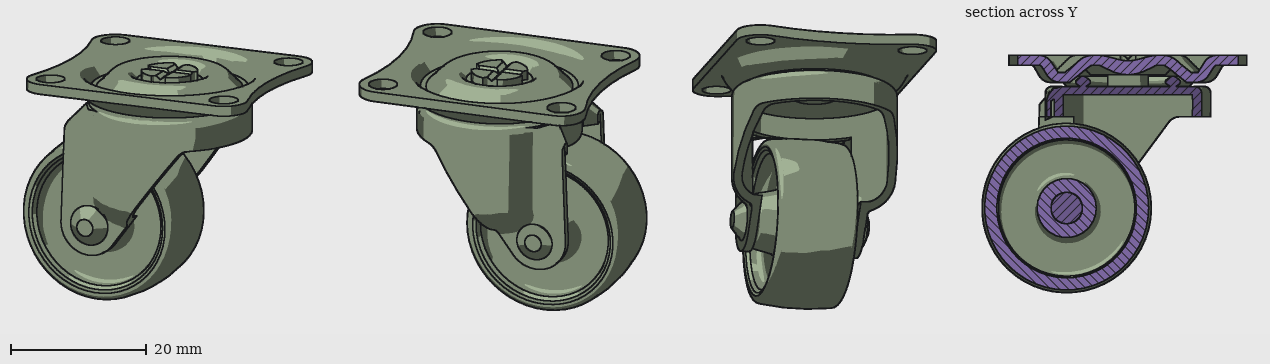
import cadquery as cq
import math


PLATE_LENGTH = 35.0
PLATE_WIDTH = 30.0
SHEET = 1.5
CORNER_RADIUS = 3.5
BOLT_HOLE_DIAMETER = 4.2
SIDE_WAIST = 15.75

DISH_RADIUS = 13.1
DISH_WALL_ANGLE = 60.0
DISH_DEPTH = 2.55
DISH_FLOOR_INNER_RADIUS = 10.8
CREST_SLOPE = 45.0
SEAT_RADIUS = 4.88
SEAT_DEPTH = 1.4
LARGE_BEND = 2.0
SMALL_BEND = LARGE_BEND - SHEET
BRIM_RADIUS = 14.62

KINGPIN_HEAD_RADIUS = 4.15
KINGPIN_SHANK_RADIUS = 3.0
CROSS_GROOVE_WIDTH = 1.35
CROSS_GROOVE_DEPTH = 0.6
HEAD_NOTCH_RADIUS = 1.3
HEAD_NOTCH_OFFSET = 4.55

WHEEL_RADIUS = 12.5
AXLE_OFFSET = 9.0
AXLE_DROP = 22.485
TREAD_EDGE_RADIUS = 12.13
WHEEL_WIDTH = 11.97
TREAD_EDGE_ROUND = 0.78
RIM_INNER_RADIUS = 11.0
RIM_STEP_RADIUS = 10.53
RIM_LIP_RADIUS = 10.02
RECESS_RADIUS = 9.9
RECESS_ROUND = 0.9
RIM_STEP_DEPTH = 0.2
RIM_LIP_DEPTH = 0.7
WEB_THICKNESS = 7.02
HUB_RADIUS = 4.05
HUB_ROOT_RADIUS = 4.85
HUB_LENGTH = 13.95
HUB_ROUND = 0.3
HUB_ROOT_ROUND = 0.85

AXLE_RADIUS = 2.25
AXLE_HEAD_RADIUS = 3.0
AXLE_HEAD_TIP_RADIUS = 1.3
AXLE_HEAD_HEIGHT = 1.55
RIVET_FLANGE_RADIUS = 2.75
RIVET_FLANGE_START = 0.5
RIVET_FLANGE_EDGE = 0.78
RIVET_TIP_HEIGHT = 1.4

FORK_RADIUS = 12.188
FORK_SHEET = 1.25
FORK_TOP = 4.6
FORK_TOP_ROUND = 1.0
RIM_BOTTOM_DROP = 9.1
RIM_CUTBACK_X = 6.6
RIM_CUTBACK_ROUND = 2.0
APRON_X = -11.1
APRON_SLOPE = 24.0

LEG_OUTER_Y = 8.715
LEG_END_RADIUS = 4.55
LEG_FRONT_X = -13.03
LEG_SHOULDER_DROP = 7.88
BULGE_FRONT_X = -8.95
BULGE_BOTTOM_DROP = 21.75
BULGE_EDGE_ROUND = 3.9

BULGE_ROOT_ROUND = 0.85
GUSSET_BEND = 0.62
PICK_MARGIN = 0.05

GUSSET_TOP_DROP = 4.88
GUSSET_REAR_X = -9.13
GUSSET_RIDGE_X = -11.3
GUSSET_RIDGE_Y = 4.88
GUSSET_TIP_Y = 6.45
RIDGE_ROUND = 1.0

RACE_RADIUS = 8.6
RACE_FOOT_WIDTH = 0.78
RACE_WIDTH = 2.2
RACE_MIDDLE_DROP = 3.95
RACE_TOP_DROP = 2.9
RACE_ROUND = 0.5

LEG_INNER_Y = LEG_OUTER_Y - FORK_SHEET
LEG_REAR_X = BULGE_FRONT_X + FORK_SHEET
OVERSIZE = 39.0


def rounded_outline(corners, plane="XZ"):
    """Closed outline through (u, v, radius) corners, each rounded by its radius (0 keeps it sharp)."""
    outline = None
    for index, (u, v, radius) in enumerate(corners):
        corner = cq.Vector(u, v)
        before = cq.Vector(*corners[index - 1][:2]) - corner
        after = cq.Vector(*corners[(index + 1) % len(corners)][:2]) - corner
        before = before.normalized()
        after = after.normalized()
        half_angle = before.getAngle(after) / 2
        reach = radius / math.tan(half_angle)
        start = corner + before * reach
        end = corner + after * reach
        bisector = (before + after).normalized()
        middle = corner + bisector * (radius / math.sin(half_angle) - radius)
        if outline is None:
            outline = cq.Workplane(plane).moveTo(start.x, start.y)
        else:
            outline = outline.lineTo(start.x, start.y)
        if radius > 0:
            outline = outline.threePointArc((middle.x, middle.y), (end.x, end.y))
    return outline.close()


def turned_about_z(corners):
    return rounded_outline(corners).revolve(360, (0, 0), (0, 1))


def turned_about_axle(corners):
    """Revolve (radius, distance along the axle) corners about the wheel axis, which runs along Y."""
    body = rounded_outline(corners, "XY").revolve(360, (0, 0), (0, 1))
    return body.translate((-AXLE_OFFSET, 0, -AXLE_DROP))


def make_plate_blank():
    half_length = PLATE_LENGTH / 2
    half_width = PLATE_WIDTH / 2
    corner_x = half_length - CORNER_RADIUS
    corner_y = half_width - CORNER_RADIUS
    inset = SIDE_WAIST - corner_x
    side_radius = (corner_y**2 + inset**2 - CORNER_RADIUS**2) / (2 * (CORNER_RADIUS - inset))
    tangency = CORNER_RADIUS / (side_radius + CORNER_RADIUS)
    tangent_x = corner_x + (SIDE_WAIST + side_radius - corner_x) * tangency
    tangent_y = corner_y * (1 - tangency)
    diagonal = CORNER_RADIUS * math.sqrt(0.5)
    blank = (
        cq.Workplane("XY")
        .moveTo(-corner_x, half_width)
        .lineTo(corner_x, half_width)
        .threePointArc((corner_x + diagonal, corner_y + diagonal), (tangent_x, tangent_y))
        .threePointArc((SIDE_WAIST, 0), (tangent_x, -tangent_y))
        .threePointArc((corner_x + diagonal, -corner_y - diagonal), (corner_x, -half_width))
        .lineTo(-corner_x, -half_width)
        .threePointArc((-corner_x - diagonal, -corner_y - diagonal), (-tangent_x, -tangent_y))
        .threePointArc((-SIDE_WAIST, 0), (-tangent_x, tangent_y))
        .threePointArc((-corner_x - diagonal, corner_y + diagonal), (-corner_x, half_width))
        .close()
        .extrude(-SHEET)
    )
    bolt_holes = (
        cq.Workplane("XY")
        .rect(2 * corner_x, 2 * corner_y, forConstruction=True)
        .vertices()
        .circle(BOLT_HOLE_DIAMETER / 2)
        .extrude(-SHEET)
    )
    return blank.cut(bolt_holes)


def make_dish():
    """Pressed sheet: a dish whose middle rises to a crest and falls again to the kingpin seat."""
    wall = math.radians(DISH_WALL_ANGLE)
    slope = math.radians(CREST_SLOPE)
    wall_shift = SHEET * math.tan(wall / 2)
    slope_shift = SHEET * math.tan(slope / 2)
    floor_outer = DISH_RADIUS - DISH_DEPTH / math.tan(wall)
    crest_outer = DISH_FLOOR_INNER_RADIUS - DISH_DEPTH / math.tan(slope)
    crest_inner = SEAT_RADIUS + SEAT_DEPTH / math.tan(slope)
    corners = [
        (BRIM_RADIUS, 0, 0),
        (DISH_RADIUS, 0, LARGE_BEND),
        (floor_outer, -DISH_DEPTH, 0),
        (DISH_FLOOR_INNER_RADIUS, -DISH_DEPTH, 0),
        (crest_outer, 0, LARGE_BEND),
        (crest_inner, 0, LARGE_BEND),
        (SEAT_RADIUS, -SEAT_DEPTH, 0),
        (KINGPIN_SHANK_RADIUS, -SEAT_DEPTH, 0),
        (KINGPIN_SHANK_RADIUS, -SEAT_DEPTH - SHEET, 0),
        (SEAT_RADIUS + slope_shift, -SEAT_DEPTH - SHEET, 0),
        (crest_inner + slope_shift, -SHEET, SMALL_BEND),
        (crest_outer - slope_shift, -SHEET, SMALL_BEND),
        (DISH_FLOOR_INNER_RADIUS - slope_shift, -DISH_DEPTH - SHEET, 0),
        (floor_outer + wall_shift, -DISH_DEPTH - SHEET, LARGE_BEND),
        (DISH_RADIUS + wall_shift, -SHEET, SMALL_BEND),
        (BRIM_RADIUS, -SHEET, 0),
    ]
    return turned_about_z(corners)


def make_plate():
    opening = cq.Workplane("XY").circle(BRIM_RADIUS).extrude(-SHEET)
    return make_plate_blank().cut(opening).union(make_dish())


def make_kingpin():
    head = cq.Workplane("XY").circle(KINGPIN_HEAD_RADIUS).extrude(-SEAT_DEPTH)
    groove = (
        cq.Workplane("XZ")
        .moveTo(-CROSS_GROOVE_WIDTH / 2, 0)
        .lineTo(CROSS_GROOVE_WIDTH / 2, 0)
        .lineTo(0, -CROSS_GROOVE_DEPTH)
        .close()
        .extrude(KINGPIN_HEAD_RADIUS, both=True)
    )
    for angle in (0, 90):
        head = head.cut(groove.rotate((0, 0, 0), (0, 0, 1), angle))
    notches = (
        cq.Workplane("XY")
        .polarArray(HEAD_NOTCH_OFFSET, 0, 360, 4)
        .circle(HEAD_NOTCH_RADIUS)
        .extrude(-SEAT_DEPTH)
    )
    shank = (
        cq.Workplane("XY")
        .workplane(offset=-SEAT_DEPTH)
        .circle(KINGPIN_SHANK_RADIUS)
        .extrude(SEAT_DEPTH - FORK_TOP - FORK_SHEET)
    )
    return head.cut(notches).union(shank)


def make_wheel():
    face = WHEEL_WIDTH / 2
    web = WEB_THICKNESS / 2
    hub = HUB_LENGTH / 2
    half = [
        (RIM_INNER_RADIUS, face, 0),
        (RIM_STEP_RADIUS, face - RIM_STEP_DEPTH, 0),
        (RIM_LIP_RADIUS, face - RIM_LIP_DEPTH, 0),
        (RECESS_RADIUS, web, RECESS_ROUND),
        (HUB_ROOT_RADIUS, web, HUB_ROOT_ROUND),
        (HUB_RADIUS, hub, HUB_ROUND),
        (AXLE_RADIUS, hub, 0),
    ]
    mirrored = [(radius, -y, rounding) for radius, y, rounding in reversed(half)]
    shoulders = [(TREAD_EDGE_RADIUS, -face, TREAD_EDGE_ROUND), (TREAD_EDGE_RADIUS, face, TREAD_EDGE_ROUND)]
    body = turned_about_axle(half + mirrored + shoulders)
    tread_edge = face - TREAD_EDGE_ROUND
    crown = (
        cq.Workplane("XY")
        .moveTo(RIM_INNER_RADIUS, -tread_edge)
        .lineTo(TREAD_EDGE_RADIUS, -tread_edge)
        .threePointArc((WHEEL_RADIUS, 0), (TREAD_EDGE_RADIUS, tread_edge))
        .lineTo(RIM_INNER_RADIUS, tread_edge)
        .close()
        .revolve(360, (0, 0), (0, 1))
        .translate((-AXLE_OFFSET, 0, -AXLE_DROP))
    )
    return body.union(crown)


def make_axle():
    corners = [
        (0, -LEG_OUTER_Y - AXLE_HEAD_HEIGHT, 0),
        (AXLE_HEAD_TIP_RADIUS, -LEG_OUTER_Y - AXLE_HEAD_HEIGHT, 0),
        (AXLE_HEAD_RADIUS, -LEG_OUTER_Y, 0),
        (AXLE_RADIUS, -LEG_OUTER_Y, 0),
        (AXLE_RADIUS, LEG_OUTER_Y + RIVET_FLANGE_START, 0),
        (RIVET_FLANGE_RADIUS, LEG_OUTER_Y + RIVET_FLANGE_EDGE, 0),
        (AXLE_HEAD_TIP_RADIUS, LEG_OUTER_Y + RIVET_TIP_HEIGHT, 0),
        (0, LEG_OUTER_Y + RIVET_TIP_HEIGHT, 0),
    ]
    return turned_about_axle(corners)


def slanted_edge_end():
    """Point where the slanted rear edge of the leg runs tangent into the round leg end."""
    run = -AXLE_OFFSET - RIM_CUTBACK_X
    rise = RIM_BOTTOM_DROP - AXLE_DROP
    swing = math.asin(LEG_END_RADIUS / math.hypot(run, rise))
    direction = math.atan2(rise, run) + swing + math.pi / 2
    x = -AXLE_OFFSET + LEG_END_RADIUS * math.cos(direction)
    z = -AXLE_DROP + LEG_END_RADIUS * math.sin(direction)
    return x, z


def make_drum(inset):
    """Solid drum inside the outer skin of the fork, with that skin moved inward by inset."""
    radius = FORK_RADIUS - inset
    top = -FORK_TOP - inset
    bottom = -BULGE_BOTTOM_DROP + inset
    corners = [
        (0, top, 0),
        (radius, top, max(FORK_TOP_ROUND - inset, 0)),
        (radius, bottom, BULGE_EDGE_ROUND - inset),
        (0, bottom, 0),
    ]
    return turned_about_z(corners)


def make_rear_cutback():
    """Everything below the rim and behind the slanted rear edge of the legs."""
    edge_x, edge_z = slanted_edge_end()
    outline = [
        (OVERSIZE, -RIM_BOTTOM_DROP, 0),
        (RIM_CUTBACK_X, -RIM_BOTTOM_DROP, RIM_CUTBACK_ROUND),
        (edge_x, edge_z, 0),
        (OVERSIZE, edge_z, 0),
    ]
    return rounded_outline(outline).extrude(OVERSIZE, both=True)


def make_wheel_window():
    """Room for the wheel between the legs, leaving an apron in front that hangs slightly lower."""
    apron_drop = RIM_BOTTOM_DROP + OVERSIZE * math.tan(math.radians(APRON_SLOPE))
    outline = [
        (OVERSIZE, -RIM_BOTTOM_DROP, 0),
        (APRON_X, -RIM_BOTTOM_DROP, 0),
        (APRON_X - OVERSIZE, -apron_drop, 0),
        (APRON_X - OVERSIZE, -2 * OVERSIZE, 0),
        (OVERSIZE, -2 * OVERSIZE, 0),
    ]
    return rounded_outline(outline).extrude(LEG_INNER_Y, both=True)


def make_leg(side):
    outline = (
        cq.Workplane("XZ", origin=(0, side * LEG_OUTER_Y, 0))
        .moveTo(*slanted_edge_end())
        .threePointArc(
            (-AXLE_OFFSET, -AXLE_DROP - LEG_END_RADIUS), (-AXLE_OFFSET - LEG_END_RADIUS, -AXLE_DROP)
        )
        .lineTo(LEG_FRONT_X, -LEG_SHOULDER_DROP)
        .lineTo(GUSSET_REAR_X, -GUSSET_TOP_DROP)
        .lineTo(LEG_REAR_X, -GUSSET_TOP_DROP)
        .lineTo(LEG_REAR_X, -RIM_BOTTOM_DROP)
        .lineTo(RIM_CUTBACK_X, -RIM_BOTTOM_DROP)
        .close()
    )
    return outline.extrude(side * FORK_SHEET)


def make_gusset(side):
    """Tilted sheet between the upper leg edge and the apron, with a wall hanging from its inner ridge."""
    leg_y = side * LEG_OUTER_Y
    shoulder = cq.Vector(LEG_FRONT_X, leg_y, -LEG_SHOULDER_DROP)
    rear = cq.Vector(GUSSET_REAR_X, leg_y, -GUSSET_TOP_DROP)
    ridge = cq.Vector(GUSSET_RIDGE_X, side * GUSSET_RIDGE_Y, -GUSSET_TOP_DROP)
    upward = (rear - shoulder).cross(rear - ridge) * side
    tilted = cq.Plane(rear, rear - shoulder, upward)
    skin = cq.Workplane(tilted).rect(OVERSIZE, OVERSIZE).extrude(-FORK_SHEET)
    below_skin_top = cq.Workplane(tilted).rect(OVERSIZE, OVERSIZE).extrude(-OVERSIZE)
    leg_footprint = [
        (LEG_FRONT_X, leg_y),
        (LEG_REAR_X, leg_y),
        (LEG_REAR_X, side * LEG_INNER_Y),
        (GUSSET_RIDGE_X, side * GUSSET_RIDGE_Y),
        (LEG_FRONT_X, side * GUSSET_TIP_Y),
    ]
    wall_footprint = [
        (GUSSET_RIDGE_X, side * GUSSET_RIDGE_Y),
        (LEG_FRONT_X, side * GUSSET_TIP_Y),
        (LEG_FRONT_X, side * (GUSSET_TIP_Y + FORK_SHEET)),
        (GUSSET_RIDGE_X, side * (GUSSET_RIDGE_Y + FORK_SHEET)),
    ]
    rim_level = (0, 0, -RIM_BOTTOM_DROP)
    height = RIM_BOTTOM_DROP - GUSSET_TOP_DROP
    sheet = cq.Workplane("XY", origin=rim_level).polyline(leg_footprint).close().extrude(height)
    wall = cq.Workplane("XY", origin=rim_level).polyline(wall_footprint).close().extrude(height)
    gusset = sheet.intersect(skin).union(wall.intersect(below_skin_top))
    ridge_middle = cq.Vector(
        (LEG_FRONT_X + GUSSET_RIDGE_X) / 2,
        side * (GUSSET_TIP_Y + GUSSET_RIDGE_Y) / 2,
        -GUSSET_TOP_DROP,
    )
    ridge_edge = gusset.edges(cq.selectors.NearestToPointSelector(ridge_middle.toTuple()))
    return ridge_edge.fillet(RIDGE_ROUND)


def make_race():
    foot_inner = RACE_RADIUS - RACE_FOOT_WIDTH / 2
    foot_outer = RACE_RADIUS + RACE_FOOT_WIDTH / 2
    corners = [
        (foot_outer, -FORK_TOP, 0),
        (RACE_RADIUS + RACE_WIDTH / 2, -RACE_MIDDLE_DROP, RACE_ROUND),
        (RACE_RADIUS, -RACE_TOP_DROP, RACE_ROUND),
        (RACE_RADIUS - RACE_WIDTH / 2, -RACE_MIDDLE_DROP, RACE_ROUND),
        (foot_inner, -FORK_TOP, 0),
    ]
    return turned_about_z(corners)


def pick_on_leg_face(side, front_x, bottom_drop, rear_x, top_drop):
    """Selector of the edges that lie on the outer face of a leg, within a window of X and Z."""
    low_y, high_y = sorted((side * (LEG_OUTER_Y - PICK_MARGIN), side * (LEG_OUTER_Y + PICK_MARGIN)))
    return cq.selectors.BoxSelector((front_x, low_y, -bottom_drop), (rear_x, high_y, -top_drop))


def make_fork():
    fork = make_drum(0).cut(make_wheel_window())
    for side in (-1, 1):
        bulge_root = pick_on_leg_face(
            side, BULGE_FRONT_X, BULGE_BOTTOM_DROP, 0, FORK_TOP + FORK_TOP_ROUND
        )
        gusset_bend = pick_on_leg_face(
            side, LEG_FRONT_X, LEG_SHOULDER_DROP, GUSSET_REAR_X, GUSSET_TOP_DROP
        )
        fork = fork.union(make_leg(side)).edges(bulge_root).fillet(BULGE_ROOT_ROUND)
        fork = fork.union(make_gusset(side)).edges(gusset_bend).fillet(GUSSET_BEND)
    fork = fork.cut(make_drum(FORK_SHEET)).cut(make_rear_cutback())
    return fork.union(make_race()).cut(make_kingpin()).cut(make_axle())


plate = make_plate()
kingpin = make_kingpin()
fork = make_fork()
wheel = make_wheel()
axle = make_axle()
bodies = [plate, kingpin, fork, wheel, axle]
result = cq.Compound.makeCompound([body.val() for body in bodies])